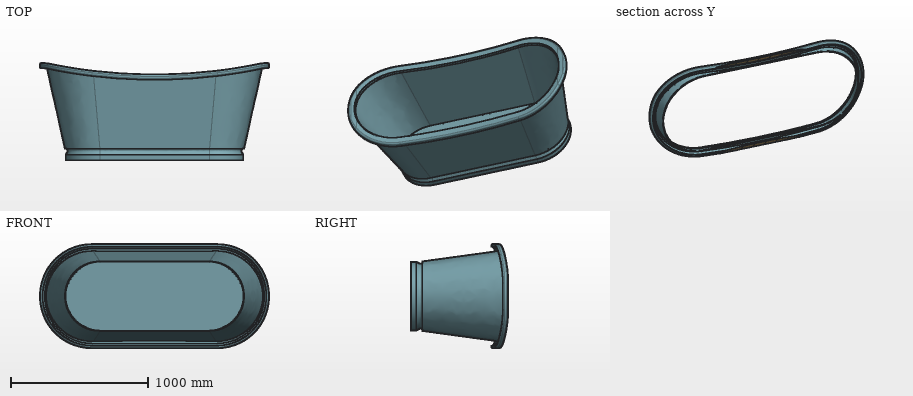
import cadquery as cq


LENGTH = 1674.0
WIDTH = 762.0
MID_HEIGHT = 628.0
END_RISE = 84.0
SWEEP_END = 792.0
SWEEP_BLEND = 201.0

PLINTH_STRAIGHT = 797.0
PLINTH_RADIUS = 251.0
PLINTH_HEIGHT = 85.0
FOOT_HEIGHT = 40.0
COVE_DEPTH = 13.0
NECK_HEIGHT = 64.0
COVE_TOP_INSET = 7.0

TUB_BASE_LENGTH = 1309.0
TUB_BASE_WIDTH = 509.0
END_SLOPE = 0.224
SIDE_SLOPE = 0.137
WALL = 10.0
LOFT_TOP = 837.0

FLANGE_DEPTH = 18.0
BEAD_DEPTH = 40.0
BEAD_WIDTH = 20.0
BEAD_SLOPE = 15.0
RIM_ROUND = 13.0
BEAD_ROUND = 12.0


def stadium(length, width, height):
    """Stadium outline at a height above the floor, extruding toward -Y."""
    return cq.Workplane("XZ", origin=(0, height, 0)).slot2D(length, width)


def tub_cone(inset, bottom):
    """Solid bounded by the leaning tub walls, moved inward by inset."""
    def size(height):
        rise = height - PLINTH_HEIGHT
        length = TUB_BASE_LENGTH + 2 * (END_SLOPE * rise - inset)
        width = TUB_BASE_WIDTH + 2 * (SIDE_SLOPE * rise - inset)
        return length, width

    outline = stadium(*size(bottom), bottom)
    outline = outline.workplane(offset=bottom - LOFT_TOP).slot2D(*size(LOFT_TOP))
    return outline.loft(ruled=True)


def above_sweep(depth):
    """Everything above the curved sweep of the rim top, lowered by depth."""
    middle = MID_HEIGHT - depth
    tip = middle + END_RISE
    sky = tip + LOFT_TOP
    block = (
        cq.Workplane("XY")
        .moveTo(-LENGTH, tip)
        .lineTo(-SWEEP_END, tip)
        .threePointArc((0, middle), (SWEEP_END, tip))
        .lineTo(LENGTH, tip)
        .lineTo(LENGTH, sky)
        .lineTo(-LENGTH, sky)
        .close()
        .extrude(WIDTH, both=True)
    )
    return block.edges("|Z and (not >X) and (not <X)").fillet(SWEEP_BLEND)


def plinth_half_section():
    """Section of the plinth from its middle plane out to one side."""
    neck = PLINTH_RADIUS - COVE_DEPTH
    cove = [
        ((PLINTH_RADIUS + neck) / 2, (FOOT_HEIGHT + NECK_HEIGHT) / 2),
        (neck, NECK_HEIGHT),
        (PLINTH_RADIUS - COVE_TOP_INSET, PLINTH_HEIGHT),
    ]
    return (
        cq.Workplane("ZY")
        .lineTo(PLINTH_RADIUS, 0)
        .lineTo(PLINTH_RADIUS, FOOT_HEIGHT)
        .spline(cove, includeCurrent=True)
        .lineTo(0, PLINTH_HEIGHT)
        .close()
    )


def make_plinth():
    side = plinth_half_section().extrude(PLINTH_STRAIGHT).translate((PLINTH_STRAIGHT / 2, 0, 0))
    plinth = side.union(side.mirror("XY"))
    end = plinth_half_section().revolve(360, (0, 0, 0), (0, 1, 0))
    for x in (-PLINTH_STRAIGHT / 2, PLINTH_STRAIGHT / 2):
        plinth = plinth.union(end.translate((x, 0, 0)))
    return plinth


def make_tub(cavity):
    outside = tub_cone(0, PLINTH_HEIGHT)
    return outside.cut(above_sweep(FLANGE_DEPTH)).cut(cavity)


def make_rim(cavity):
    column = stadium(LENGTH, WIDTH, LOFT_TOP).extrude(LOFT_TOP)
    lower = column.cut(above_sweep(0)).faces(">Y").edges().fillet(RIM_ROUND)
    upper = column.intersect(above_sweep(BEAD_DEPTH)).faces("<Y").edges().fillet(BEAD_ROUND)
    slab = lower.intersect(upper)

    hollow = stadium(LENGTH - 2 * BEAD_WIDTH, WIDTH - 2 * BEAD_WIDTH, LOFT_TOP).extrude(LOFT_TOP)
    hollow = hollow.cut(above_sweep(FLANGE_DEPTH))
    hollow = hollow.faces(">Y").edges().chamfer(BEAD_SLOPE)
    return slab.cut(hollow).cut(cavity)


cavity = tub_cone(WALL, PLINTH_HEIGHT + WALL)
plinth = make_plinth()
tub = make_tub(cavity)
rim = make_rim(cavity)
result = cq.Compound.makeCompound([body.solids().val() for body in (plinth, tub, rim)])